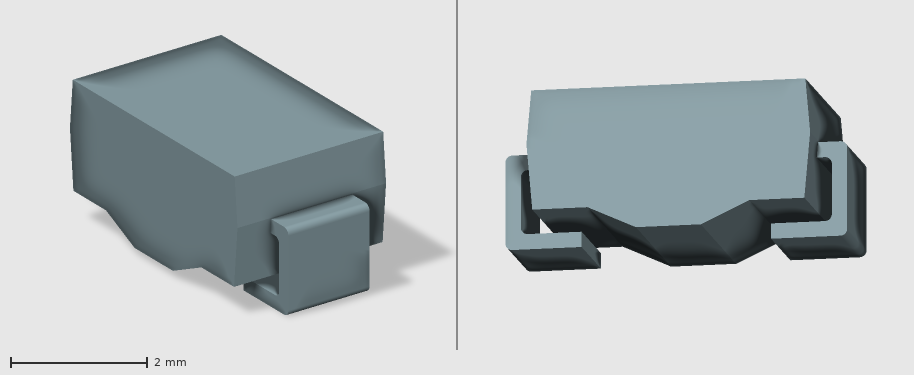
import cadquery as cq

TOTAL_LENGTH = 5.11
TOTAL_HEIGHT = 2.25

BODY_WIDTH = 2.67
BODY_TOP_LENGTH = 4.1
BODY_PARTING_LENGTH = 4.24
BODY_BOTTOM_LENGTH = 4.07
PARTING_HEIGHT = 1.44
BODY_BOTTOM_HEIGHT = 0.455

BELLY_ROOT_LENGTH = 2.415
BELLY_FLAT_LENGTH = 0.97
BELLY_HEIGHT = 0.125

LEAD_WIDTH = 1.46
LEAD_HEIGHT = 1.42
LEAD_THICKNESS = 0.23
LEAD_FOOT_LENGTH = 1.14
LEAD_BEND_RADIUS = 0.1


def make_body():
    """Body with side draft above and below the parting line, and a belly underneath."""
    right_side = [
        (BODY_TOP_LENGTH / 2, TOTAL_HEIGHT),
        (BODY_PARTING_LENGTH / 2, PARTING_HEIGHT),
        (BODY_BOTTOM_LENGTH / 2, BODY_BOTTOM_HEIGHT),
        (BELLY_ROOT_LENGTH / 2, BODY_BOTTOM_HEIGHT),
        (BELLY_FLAT_LENGTH / 2, BELLY_HEIGHT),
    ]
    left_side = [(-x, z) for x, z in reversed(right_side)]
    profile = cq.Workplane("XZ").polyline(right_side + left_side).close()
    return profile.extrude(BODY_WIDTH / 2, both=True)


def make_left_lead():
    """Strip leaving the body, bent down and then back in under it."""
    outer_x = -TOTAL_LENGTH / 2
    inner_x = outer_x + LEAD_THICKNESS
    foot_end_x = outer_x + LEAD_FOOT_LENGTH
    upper_inner_z = LEAD_HEIGHT - LEAD_THICKNESS
    profile = cq.Workplane("XZ").polyline([
        (foot_end_x, 0),
        (outer_x, 0),
        (outer_x, LEAD_HEIGHT),
        (foot_end_x, LEAD_HEIGHT),
        (foot_end_x, upper_inner_z),
        (inner_x, upper_inner_z),
        (inner_x, LEAD_THICKNESS),
        (foot_end_x, LEAD_THICKNESS),
    ]).close()
    lead = profile.extrude(LEAD_WIDTH / 2, both=True)
    outer_bends = lead.edges("|Y").edges("<X")
    inner_bends = lead.edges("|Y").edges(cq.selectors.BoxSelector(
        (inner_x - LEAD_THICKNESS / 2, -LEAD_WIDTH, 0),
        (inner_x + LEAD_THICKNESS / 2, LEAD_WIDTH, LEAD_HEIGHT),
    ))
    return lead.newObject(outer_bends.vals() + inner_bends.vals()).fillet(LEAD_BEND_RADIUS)


left_lead = make_left_lead()
right_lead = left_lead.mirror("YZ")
result = make_body().union(left_lead).union(right_lead)